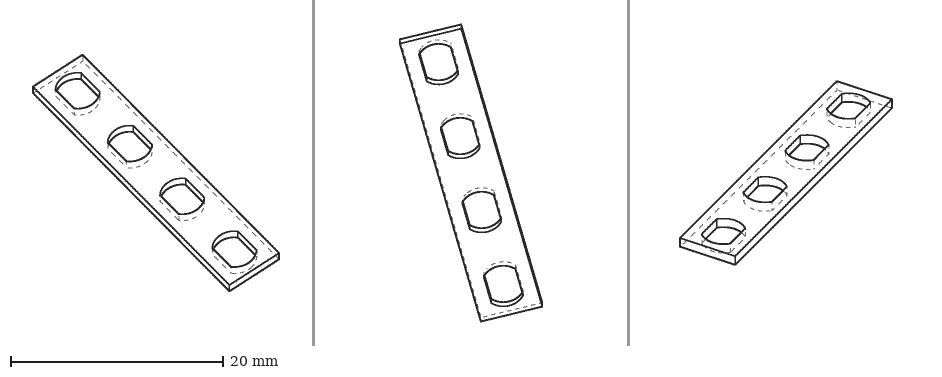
import cadquery as cq

length = 29.7
width = 6.0
thickness = 1.0

hole_count = 4
hole_pitch = 7.9
hole_diameter = 4.2
hole_flat_distance = 3.1


def double_flat_cutter():
    """Cylinder along Z, trimmed by two flats facing +Y and -Y."""
    cylinder = cq.Workplane("XY").circle(hole_diameter / 2).extrude(thickness)
    flats = cq.Workplane("XY").rect(hole_diameter, hole_flat_distance).extrude(thickness)
    return cylinder.intersect(flats)


result = cq.Workplane("XY").rect(length, width).extrude(thickness)

first_hole_x = -hole_pitch * (hole_count - 1) / 2
for index in range(hole_count):
    hole_x = first_hole_x + index * hole_pitch
    result = result.cut(double_flat_cutter().translate((hole_x, 0, 0)))